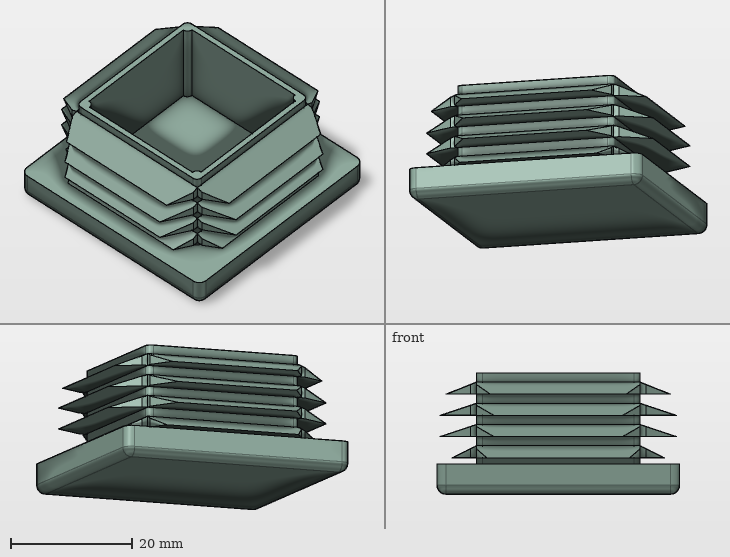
import cadquery as cq
import math

wall = 1.0
total_height = 20.0

cap_width = 40.0
cap_height = 5.0
cap_radius = 1.5 * wall

plug_width = 27.0
plug_corner_radius = 1.0
pocket_width = plug_width - 2 * wall
pocket_floor = cap_height
corner_post_radius = 1.0

barb_reaches = [4.0, 6.0, 6.0, 5.0]
barb_thickness = 2.0
lowest_barb_height = 6.0
barb_pitch = (total_height - lowest_barb_height) / len(barb_reaches)
barb_straight_end = 1.0
barb_end_angle = 30.0


def make_cap():
    cap = cq.Workplane("XY").rect(cap_width, cap_width).extrude(cap_height)
    cap = cap.edges("|Z").fillet(cap_radius)
    return cap.faces("<Z").edges().fillet(cap_radius)


def make_plug():
    plug = cq.Workplane("XY").workplane(offset=cap_height).rect(plug_width, plug_width)
    plug = plug.extrude(total_height - cap_height)
    return plug.edges("|Z").fillet(plug_corner_radius)


def make_pocket():
    """Square pocket with a round post left standing in each corner."""
    depth = total_height - pocket_floor
    floor_plane = cq.Workplane("XY").workplane(offset=pocket_floor)
    pocket = floor_plane.rect(pocket_width, pocket_width).extrude(depth)
    posts = (
        floor_plane.rect(pocket_width, pocket_width, forConstruction=True)
        .vertices()
        .circle(corner_post_radius)
        .extrude(depth)
    )
    return pocket.cut(posts)


def make_barb(reach, bottom):
    """Barb on the +X side: a wedge flat underneath, with its ends cut back at an angle."""
    root = plug_width / 2
    tip = root + reach
    half_length = plug_width / 2
    taper_start = root + barb_straight_end
    taper_inset = (tip - taper_start) * math.tan(math.radians(barb_end_angle))
    tip_half_length = half_length - taper_inset
    top = bottom + barb_thickness

    wedge = (
        cq.Workplane("XZ")
        .polyline([(root, bottom), (tip, bottom), (root, top)])
        .close()
        .extrude(half_length, both=True)
    )
    plan = (
        cq.Workplane("XY")
        .workplane(offset=bottom)
        .polyline([
            (root, -half_length),
            (taper_start, -half_length),
            (tip, -tip_half_length),
            (tip, tip_half_length),
            (taper_start, half_length),
            (root, half_length),
        ])
        .close()
        .extrude(barb_thickness)
    )
    return wedge.intersect(plan)


result = make_cap().union(make_plug()).cut(make_pocket())
for level, reach in enumerate(barb_reaches):
    barb = make_barb(reach, lowest_barb_height + level * barb_pitch)
    for angle in (0, 90, 180, 270):
        result = result.union(barb.rotate((0, 0, 0), (0, 0, 1), angle))